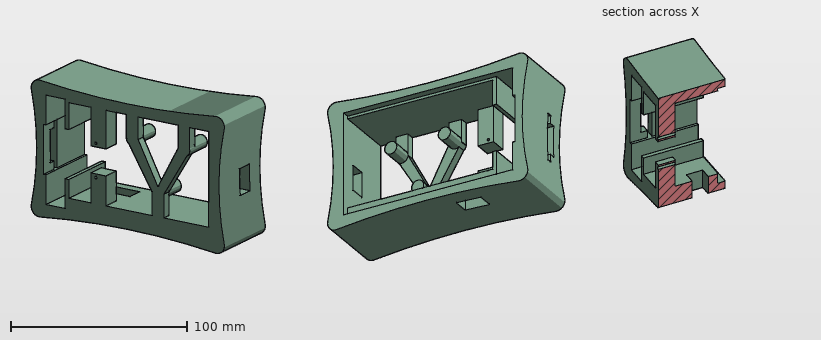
import cadquery as cq
import math

WIDTH = 131.0
DEPTH = 42.7
HEIGHT = 82.0
CORNER_RADIUS = 5.5
SIDE_MIDDLE_X = 61.8
TOP_MIDDLE_Z = 37.6

CAVITY_LEFT = -40.0
CAVITY_RIGHT = 54.9
CAVITY_BOTTOM = -26.2
CAVITY_TOP = 31.0

COMPARTMENT_LEFT = -55.4
FIN_THICKNESS = 2.5
COMPARTMENT_HALF_HEIGHT = 32.8
GAP_HALF_HEIGHT = 14.9
GAP_LEFT = -57.0

COVER_DEPTH = 4.6

PILLAR_LEFT = -25.0
PILLAR_RIGHT = -14.8
PILLAR_DEPTH = 11.0
LOWER_PILLAR_TOP = -8.3
UPPER_PILLAR_BOTTOM = 7.9
PILLAR_HOLE_DIAMETER = 1.5
PILLAR_HOLE_X = -21.6
PILLAR_HOLE_INSET = 2.2

BRACE_DEPTH = 5.5
STEM_LEFT = 16.4
STEM_RIGHT = 24.5
STEM_TOP = -12.0
FORK_Z = -8.3
LEFT_ARM_OUTER = -1.0
LEFT_ARM_INNER = 7.1
RIGHT_ARM_INNER = 34.2
RIGHT_ARM_OUTER = 41.9
ARM_OUTER_Z = 16.8
ARM_INNER_Z = 17.5

POST_DIAMETER = 8.0
POST_END = 18.3
UPPER_POST_Z = 17.2
LOWER_POST_Z = -12.3

SHORT_SLOT_FRONT = 7.0
SHORT_SLOT_HALF_HEIGHT = 10.0
TALL_SLOT_BACK = 14.0

PORT_FRONT = 21.6
PORT_BACK = 31.8
PORT_LENGTH = 16.0
BOTTOM_PORT_LEFT = -28.5
RIGHT_PORT_BOTTOM = -11.9


def box(x_range, y_range, z_range):
    """Box spanning the given (low, high) ranges; y = 0 is the front face."""
    x0, x1 = x_range
    y0, y1 = y_range
    z0, z1 = z_range
    return cq.Workplane("XY").box(x1 - x0, y1 - y0, z1 - z0, centered=False).translate((x0, y0, z0))


def extrude_back(sketch, depth):
    """Extrude a front-plane outline toward +Y."""
    return sketch.extrude(-depth)


def bow_radius(along, rise):
    """Radius of a side arc that is tangent to a corner arc.

    along and rise locate the corner centre from the middle of the side, along it and outward.
    """
    return (along**2 + rise**2 - CORNER_RADIUS**2) / (2 * (CORNER_RADIUS + rise))


def frame_body():
    corner_x = WIDTH / 2 - CORNER_RADIUS
    corner_z = HEIGHT / 2 - CORNER_RADIUS
    top_centre_z = TOP_MIDDLE_Z + bow_radius(corner_x, corner_z - TOP_MIDDLE_Z)
    side_centre_x = SIDE_MIDDLE_X + bow_radius(corner_z, corner_x - SIDE_MIDDLE_X)

    def on_corner(angle):
        return (corner_x + CORNER_RADIUS * math.cos(angle), corner_z + CORNER_RADIUS * math.sin(angle))

    side_angle = math.atan2(-corner_z, side_centre_x - corner_x)
    top_angle = math.atan2(top_centre_z - corner_z, -corner_x)
    side_x, side_z = on_corner(side_angle)
    top_x, top_z = on_corner(top_angle)
    round_x, round_z = on_corner((side_angle + top_angle) / 2)

    outline = (
        cq.Workplane("XZ")
        .moveTo(side_x, -side_z)
        .threePointArc((SIDE_MIDDLE_X, 0), (side_x, side_z))
        .threePointArc((round_x, round_z), (top_x, top_z))
        .threePointArc((0, TOP_MIDDLE_Z), (-top_x, top_z))
        .threePointArc((-round_x, round_z), (-side_x, side_z))
        .threePointArc((-SIDE_MIDDLE_X, 0), (-side_x, -side_z))
        .threePointArc((-round_x, -round_z), (-top_x, -top_z))
        .threePointArc((0, -TOP_MIDDLE_Z), (top_x, -top_z))
        .threePointArc((round_x, -round_z), (side_x, -side_z))
        .close()
    )
    return extrude_back(outline, DEPTH)


def interior():
    through = (0, DEPTH)
    compartment_z = (-COMPARTMENT_HALF_HEIGHT, COMPARTMENT_HALF_HEIGHT)
    cavity = box((CAVITY_LEFT, CAVITY_RIGHT), through, (CAVITY_BOTTOM, CAVITY_TOP))
    compartment = box((COMPARTMENT_LEFT, CAVITY_LEFT - FIN_THICKNESS), through, compartment_z)
    gap = box((GAP_LEFT, CAVITY_LEFT), through, (-GAP_HALF_HEIGHT, GAP_HALF_HEIGHT))
    cover = box((COMPARTMENT_LEFT, CAVITY_RIGHT), (DEPTH - COVER_DEPTH, DEPTH), compartment_z)
    return cavity.union(compartment).union(gap).union(cover)


def pillar(z_range, hole_z):
    block = box((PILLAR_LEFT, PILLAR_RIGHT), (0, PILLAR_DEPTH), z_range)
    hole = cq.Workplane("XZ").center(PILLAR_HOLE_X, hole_z).circle(PILLAR_HOLE_DIAMETER / 2)
    return block.cut(extrude_back(hole, PILLAR_DEPTH))


def brace():
    fork_x = (STEM_LEFT + STEM_RIGHT) / 2
    outline = (
        cq.Workplane("XZ")
        .polyline(
            [
                (STEM_LEFT, CAVITY_BOTTOM),
                (STEM_LEFT, STEM_TOP),
                (LEFT_ARM_OUTER, ARM_OUTER_Z),
                (LEFT_ARM_OUTER, CAVITY_TOP),
                (LEFT_ARM_INNER, CAVITY_TOP),
                (LEFT_ARM_INNER, ARM_INNER_Z),
                (fork_x, FORK_Z),
                (RIGHT_ARM_INNER, ARM_INNER_Z),
                (RIGHT_ARM_INNER, CAVITY_TOP),
                (RIGHT_ARM_OUTER, CAVITY_TOP),
                (RIGHT_ARM_OUTER, ARM_OUTER_Z),
                (STEM_RIGHT, STEM_TOP),
                (STEM_RIGHT, CAVITY_BOTTOM),
            ]
        )
        .close()
    )
    return extrude_back(outline, BRACE_DEPTH)


def posts():
    centres = [
        ((LEFT_ARM_OUTER + LEFT_ARM_INNER) / 2, UPPER_POST_Z),
        ((RIGHT_ARM_INNER + RIGHT_ARM_OUTER) / 2, UPPER_POST_Z),
        ((STEM_LEFT + STEM_RIGHT) / 2, LOWER_POST_Z),
    ]
    circles = cq.Workplane("XZ").pushPoints(centres).circle(POST_DIAMETER / 2)
    return extrude_back(circles, POST_END)


def left_slot():
    wall_x = (-WIDTH / 2, GAP_LEFT)
    short = box(wall_x, (SHORT_SLOT_FRONT, PILLAR_DEPTH), (-SHORT_SLOT_HALF_HEIGHT, SHORT_SLOT_HALF_HEIGHT))
    tall = box(wall_x, (PILLAR_DEPTH, TALL_SLOT_BACK), (-GAP_HALF_HEIGHT, GAP_HALF_HEIGHT))
    return short.union(tall)


def ports():
    port_y = (PORT_FRONT, PORT_BACK)
    bottom_x = (BOTTOM_PORT_LEFT, BOTTOM_PORT_LEFT + PORT_LENGTH)
    right_z = (RIGHT_PORT_BOTTOM, RIGHT_PORT_BOTTOM + PORT_LENGTH)
    bottom = box(bottom_x, port_y, (-HEIGHT / 2, CAVITY_BOTTOM))
    right = box((CAVITY_RIGHT, WIDTH / 2), port_y, right_z)
    return bottom.union(right)


result = (
    frame_body()
    .cut(interior())
    .cut(left_slot())
    .cut(ports())
    .union(pillar((CAVITY_BOTTOM, LOWER_PILLAR_TOP), LOWER_PILLAR_TOP - PILLAR_HOLE_INSET))
    .union(pillar((UPPER_PILLAR_BOTTOM, CAVITY_TOP), UPPER_PILLAR_BOTTOM + PILLAR_HOLE_INSET))
    .union(brace())
    .union(posts())
)